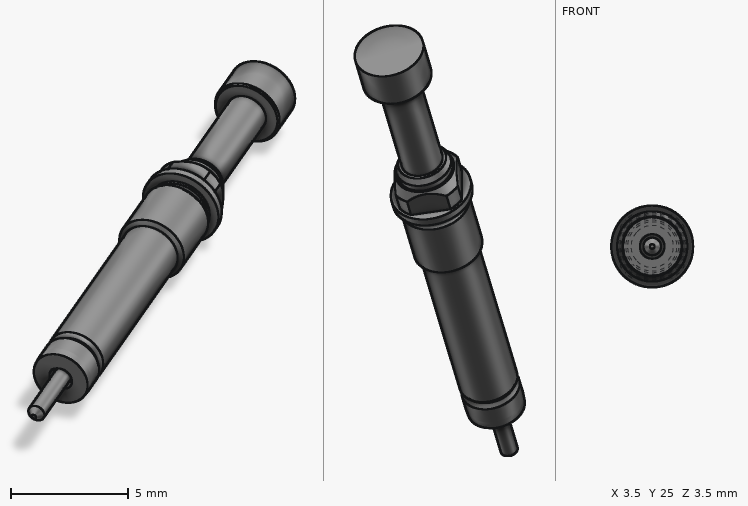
import cadquery as cq

overall_length = 25.0

head_radius = 1.5
head_length = 1.78
head_chamfer = 0.08
plunger_radius = 0.9

nose_start = 6.8
nose_tip_radius = 1.05
nose_radius = 1.2
nose_cone_end = nose_start + 0.3

wrench_start = 7.4
wrench_front_radius = 1.28
wrench_corner_radius = 1.6
wrench_cone_end = wrench_start + 0.38
wrench_width = 2.7

flange_radius = 1.75
flange_start = 8.6
flange_end = flange_start + 0.38

neck_radius = 1.28
neck_bevel = 0.08
collar_radius = 1.5
collar_start = 9.5
collar_end = 12.15
collar_lead_length = 0.2
collar_rear_bevel_length = 0.15

barrel_radius = neck_radius
groove_center = 20.65
groove_half_width = 0.22
groove_radius = 1.12
lip_start = 21.7
barrel_end = 22.08
lip_end_radius = 1.25

pin_radius = 0.38
pin_tip_radius = 0.1
pin_cone_length = pin_radius - pin_tip_radius
bore_radius = 0.52
bore_depth = 0.5


def revolve_about_axis(profile):
    """Revolve (radius, station) points about Y; the first and last points lie on the axis."""
    points = [(radius, overall_length / 2 - station) for radius, station in profile]
    return cq.Workplane("XY").polyline(points).close().revolve(360, (0, 0), (0, 1))


def make_plunger():
    return revolve_about_axis([
        (0, 0),
        (head_radius, 0),
        (head_radius, head_length - head_chamfer),
        (head_radius - head_chamfer, head_length),
        (plunger_radius, head_length),
        (plunger_radius, nose_start),
        (nose_tip_radius, nose_start),
        (nose_radius, nose_cone_end),
        (nose_radius, wrench_start),
        (0, wrench_start),
    ])


def make_wrench_section():
    blank = revolve_about_axis([
        (0, wrench_start),
        (wrench_front_radius, wrench_start),
        (wrench_corner_radius, wrench_cone_end),
        (wrench_corner_radius, flange_start),
        (0, flange_start),
    ])
    square_bar = cq.Workplane("XY").box(wrench_width, overall_length, wrench_width)
    return blank.intersect(square_bar)


def make_barrel():
    return revolve_about_axis([
        (0, flange_start),
        (flange_radius, flange_start),
        (flange_radius, flange_end),
        (neck_radius + neck_bevel, flange_end),
        (neck_radius, flange_end + neck_bevel),
        (neck_radius, collar_start - collar_lead_length),
        (collar_radius, collar_start),
        (collar_radius, collar_end),
        (barrel_radius, collar_end + collar_rear_bevel_length),
        (barrel_radius, groove_center - groove_half_width),
        (groove_radius, groove_center),
        (barrel_radius, groove_center + groove_half_width),
        (barrel_radius, lip_start),
        (lip_end_radius, barrel_end),
        (bore_radius, barrel_end),
        (bore_radius, barrel_end - bore_depth),
        (pin_radius, barrel_end - bore_depth),
        (pin_radius, overall_length - pin_cone_length),
        (pin_tip_radius, overall_length),
        (0, overall_length),
    ])


result = make_plunger().union(make_wrench_section()).union(make_barrel())